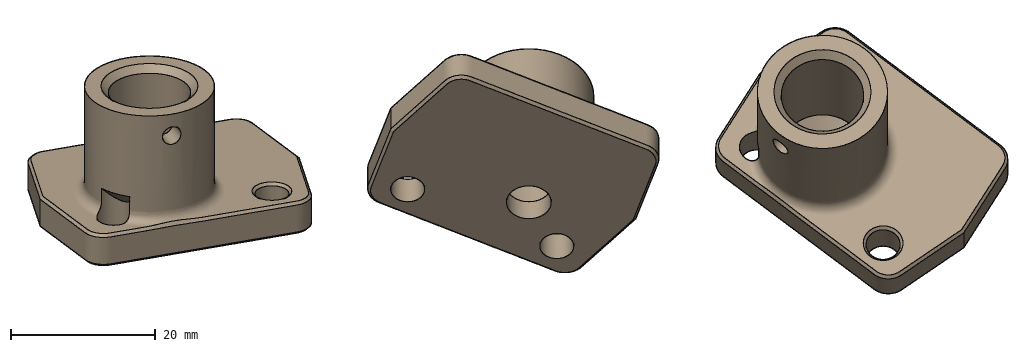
import cadquery as cq
import math


plate_width = 26.97
plate_length = 37.9
plate_thickness = 5.0
plate_right_x = 10.1
plate_left_x = plate_right_x - plate_width
back_peak_x = -3.0
back_peak_y = 23.2
front_peak_x = -3.85
front_peak_y = back_peak_y - plate_length
end_slope = math.tan(math.radians(11.5))
corner_radius = 3.0
edge_chamfer = 0.4

total_height = 21.5
tube_diameter = 18.0
tube_radius = tube_diameter / 2
root_fillet = 1.5

bore_diameter = 11.4
bore_bottom_z = 5.0
bore_mouth_chamfer = 1.0
through_diameter = 6.2
bore_tip_angle = 118.0

mount_diameter = 4.7
mount_chamfer = 0.4
back_mount_center = (5.7, 15.95)
front_mount_center = (5.5, -7.3)
front_mount_top_z = 8.7

side_hole_diameter = 2.7
side_hole_z = 18.15


def make_plate():
    """Peaked plate with its four side corners rounded."""

    def back_corner_y(x):
        return back_peak_y - end_slope * abs(x - back_peak_x)

    def front_corner_y(x):
        return front_peak_y + end_slope * abs(x - front_peak_x)

    outline = [
        (plate_left_x, front_corner_y(plate_left_x)),
        (front_peak_x, front_peak_y),
        (plate_right_x, front_corner_y(plate_right_x)),
        (plate_right_x, back_corner_y(plate_right_x)),
        (back_peak_x, back_peak_y),
        (plate_left_x, back_corner_y(plate_left_x)),
    ]
    plate = cq.Workplane("XY").polyline(outline).close().extrude(plate_thickness)
    return plate.edges("|Z and (<X or >X)").fillet(corner_radius)


def make_tube():
    """Solid tube body with a flared root, trimmed flush with the plate's +X side."""
    flare_radius = tube_radius + root_fillet
    fillet_top_z = plate_thickness + root_fillet
    arc_offset = root_fillet * math.sqrt(0.5)
    tube = (
        cq.Workplane("XZ")
        .lineTo(-flare_radius, 0)
        .lineTo(-flare_radius, plate_thickness)
        .threePointArc(
            (-flare_radius + arc_offset, fillet_top_z - arc_offset),
            (-tube_radius, fillet_top_z),
        )
        .lineTo(-tube_radius, total_height)
        .lineTo(0, total_height)
        .close()
        .revolve(360, (0, 0, 0), (0, 1, 0))
    )
    trim_size = 2 * tube_diameter
    trim = cq.Workplane("XY").box(trim_size, trim_size, 2 * total_height)
    return tube.cut(trim.translate((plate_right_x + trim_size / 2, 0, 0)))


def chamfer_rims(body):
    """Bevel the lower rim and the upper rim, including where the flared root meets the +X side."""
    rim_low_z = plate_thickness - edge_chamfer / 2
    rim_high_z = plate_thickness + edge_chamfer / 2
    upper_edges = cq.selectors.BoxSelector(
        (-plate_length, -plate_length, rim_low_z),
        (plate_length, plate_length, rim_high_z),
    )
    root_reach = plate_right_x - edge_chamfer / 2
    root_edges = cq.selectors.BoxSelector(
        (-root_reach, -root_reach, rim_low_z),
        (root_reach, root_reach, rim_high_z),
    )
    body = body.edges(upper_edges - root_edges).chamfer(edge_chamfer)
    return body.faces("<Z").edges().chamfer(edge_chamfer)


def make_bore():
    """Chamfered bore with a conical floor leading to the through hole."""
    bore_radius = bore_diameter / 2
    through_radius = through_diameter / 2
    mouth_radius = bore_radius + bore_mouth_chamfer
    cone_height = (bore_radius - through_radius) / math.tan(math.radians(bore_tip_angle / 2))
    profile = [
        (0, 0),
        (through_radius, 0),
        (through_radius, bore_bottom_z - cone_height),
        (bore_radius, bore_bottom_z),
        (bore_radius, total_height - bore_mouth_chamfer),
        (mouth_radius, total_height),
        (0, total_height),
    ]
    return cq.Workplane("XZ").polyline(profile).close().revolve(360, (0, 0, 0), (0, 1, 0))


def make_back_mount_hole():
    """Through hole with a countersunk upper rim."""
    radius = mount_diameter / 2
    profile = [
        (0, 0),
        (radius, 0),
        (radius, plate_thickness - mount_chamfer),
        (radius + mount_chamfer, plate_thickness),
        (0, plate_thickness),
    ]
    hole = cq.Workplane("XZ").polyline(profile).close().revolve(360, (0, 0, 0), (0, 1, 0))
    return hole.translate((*back_mount_center, 0))


def make_front_mount_hole():
    """Hole that passes the plate and bites into the tube wall, under a 45 degree conical ceiling."""
    hole = cq.Workplane("XY").center(*front_mount_center).circle(mount_diameter / 2).extrude(front_mount_top_z)
    cone_bottom_z = front_mount_top_z - tube_radius
    ceiling = cq.Solid.makeCone(0, tube_radius, tube_radius, pnt=cq.Vector(0, 0, cone_bottom_z))
    return hole.cut(cq.Workplane(ceiling))


def make_side_hole():
    """Radial hole running from the bore out through the +X wall."""
    return (
        cq.Workplane("YZ")
        .center(0, side_hole_z)
        .circle(side_hole_diameter / 2)
        .extrude(tube_diameter)
    )


result = (
    chamfer_rims(make_plate().union(make_tube()))
    .cut(make_bore())
    .cut(make_back_mount_hole())
    .cut(make_front_mount_hole())
    .cut(make_side_hole())
)